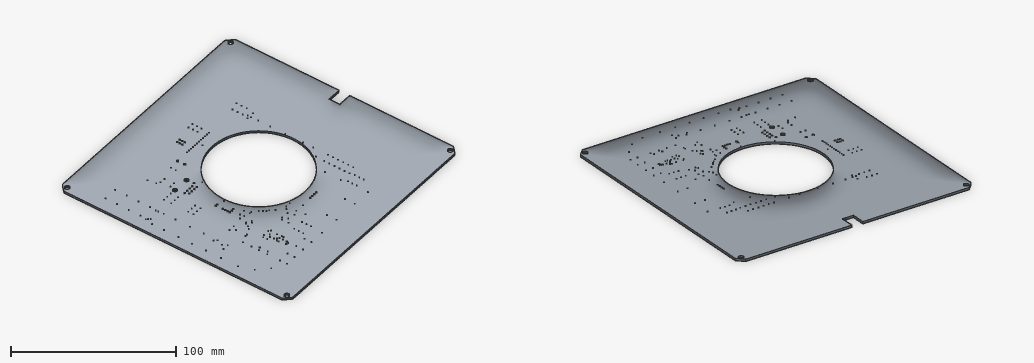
import cadquery as cq

BOARD_SIDE = 173.6
BOARD_THICKNESS = 1.6
CORNER_CHAMFER = 4.5

OPENING_DIAMETER = 69.8
NOTCH_WIDTH = 8.0
NOTCH_DEPTH = 10.0

MOUNT_DIAMETER = 3.5
MOUNT_INSET = 4.0

VIA_DIAMETER = 0.5
PIN_DIAMETER = 0.95
LEAD_DIAMETER = 1.4
PEG_DIAMETER = 3.0


def run(start, end, count):
    """Evenly spaced places from start to end, both included."""
    step = (end - start) / (count - 1)
    return [start + step * i for i in range(count)]


def grid(xs, ys):
    """Every pairing of the given X and Y places."""
    return [(x, y) for x in xs for y in ys]


def drill(board, points, diameter):
    """Cut round through holes at the given points."""
    cutters = (
        cq.Workplane("XY")
        .pushPoints(points)
        .circle(diameter / 2)
        .extrude(BOARD_THICKNESS)
    )
    return board.cut(cutters)


def make_board():
    """Plate with chamfered corners, central opening and edge notch."""
    plate = (
        cq.Workplane("XY")
        .rect(BOARD_SIDE, BOARD_SIDE)
        .extrude(BOARD_THICKNESS)
        .edges("|Z")
        .chamfer(CORNER_CHAMFER)
    )
    notch = (
        cq.Workplane("XY")
        .center(0, BOARD_SIDE / 2 - NOTCH_DEPTH / 2)
        .rect(NOTCH_WIDTH, NOTCH_DEPTH)
        .extrude(BOARD_THICKNESS)
    )
    return drill(plate.cut(notch), [(0, 0)], OPENING_DIAMETER)


def upper_vias():
    """Vias between the central opening and the notched edge."""
    points = grid(run(-46.7, -39.0, 3), [40.3])
    points += grid(run(-45.3, -37.5, 3), [34.2])
    points += [(-33.2, 38.9), (-34.5, 35.2), (-32.1, 35.2), (-33.2, 33.2)]
    points += grid([-26.7, -17.7, -6.5, 7.1, 14.8], [35.5])
    points += grid(run(25.9, 45.0, 6), [35.5])
    points += grid(run(27.5, 46.5, 6), [29.5])
    points += [(21.0, 29.7), (33.9, 21.5), (45.8, 21.5), (65.6, 22.4)]
    return points


def left_vias():
    """Vias on the -X side of the central opening."""
    points = grid(run(-56.8, -50.0, 3), [9.0, 5.2])
    points += grid([-44.0], run(8.7, -13.7, 12))
    points += [(-40.3, -3.0), (-43.2, -30.9), (-39.5, -30.9)]
    points += [(-33.3, -41.1), (-33.2, -45.0)]
    points += [(-40.3, -41.5), (-40.3, -45.3), (-41.8, -47.5), (-47.7, -48.5)]
    return points


def right_vias():
    """Vias in the rows and columns along the +X side."""
    points = grid(run(50.0, 56.8, 3), [30.0, 23.1, -23.5, -31.2])
    points += grid([58.3, 65.6], [9.0, -9.4])
    points += grid([60.5, 65.6], [-34.9, -43.2, -51.9, -59.7])
    points += [(65.6, -24.1), (60.5, -68.5), (53.3, -75.7)]
    return points


def opening_rim_vias():
    """Scattered vias around the -Y half of the central opening."""
    points = [(41.5, -10.8), (47.5, -16.5), (41.1, -17.4), (42.5, -20.8)]
    points += [(33.9, -14.0), (33.9, -17.7), (35.5, -19.6), (38.2, -22.0)]
    points += [(30.5, -24.1), (27.8, -26.7), (26.7, -28.1), (25.2, -29.5), (23.1, -31.0)]
    points += [(41.5, -25.9), (38.0, -27.5), (39.0, -29.0), (44.0, -28.8)]
    points += [(-20.1, -30.2), (0.7, -36.1)]
    return points


def lower_right_vias():
    """Scattered vias below and to the right of the central opening."""
    points = [(15.8, -36.1), (15.8, -40.3), (18.7, -40.0), (18.0, -43.2)]
    points += [(20.0, -34.4), (20.0, -36.0)]
    points += [(25.2, -41.0), (26.2, -42.2), (23.3, -44.1), (24.0, -45.0)]
    points += [(26.2, -46.2), (28.1, -48.0), (19.3, -51.2), (22.4, -53.3), (19.3, -55.5)]
    points += [(30.2, -52.6), (30.2, -54.2)]

    points += grid([48.0, 49.3], [-41.1, -46.2])
    points += [(39.8, -41.0), (38.5, -42.2), (44.6, -41.5), (48.0, -43.2), (50.3, -43.2)]
    points += [(41.3, -44.5), (42.7, -46.0), (46.9, -44.6), (45.5, -45.7)]
    points += [(38.7, -46.9), (39.5, -48.6), (42.5, -48.6)]

    points += grid([32.5, 38.9, 44.6, 50.9], [-59.7])
    points += [(49.7, -57.6)]
    return points


def bottom_vias():
    """Vias below the central opening and along the -Y edge."""
    points = grid([-29.2, -23.6, -10.8, -6.8], run(-50.0, -57.0, 3))
    points += grid(run(-58.3, -31.8, 4), [-67.4, -77.0])
    points += grid([-21.5, -12.7, -1.7, 8.7, 19.1], [-67.4, -79.2])
    points += [(-27.3, -67.7), (-25.3, -67.7)]
    points += [(-25.0, -75.9), (-26.2, -76.9), (-27.3, -78.0)]
    points += [(17.4, -69.1), (23.8, -69.1), (26.7, -67.4), (26.7, -71.7)]
    points += [(30.4, -79.2), (43.2, -79.2)]
    return points


def pin_holes():
    """Holes for connector pins, slightly larger than the vias."""
    points = grid(run(-54.3, -50.3, 3), [-7.1, -9.7])

    points += grid([40.8], run(3.5, -2.8, 4))

    points += grid([-22.7], run(-36.8, -44.6, 4))
    points += grid([-20.1], run(-35.6, -43.2, 4))
    points += [(-23.6, -33.9)]

    points += grid(run(4.5, 8.0, 3), [-42.4])
    points += grid([9.7], run(-38.7, -42.4, 3))

    points += grid([-0.7], [-41.1, -42.7])
    points += [(53.3, -43.4), (54.5, -44.0), (54.5, -45.3), (43.5, -57.5)]
    return points


board = make_board()

mount_place = BOARD_SIDE / 2 - MOUNT_INSET
mount_points = grid([-mount_place, mount_place], [-mount_place, mount_place])
board = drill(board, mount_points, MOUNT_DIAMETER)

via_points = upper_vias() + left_vias() + right_vias()
via_points += opening_rim_vias() + lower_right_vias() + bottom_vias()
board = drill(board, via_points, VIA_DIAMETER)
board = drill(board, pin_holes(), PIN_DIAMETER)

board = drill(board, [(-43.7, -23.5), (-38.5, -23.3)], LEAD_DIAMETER)
board = drill(board, [(-29.0, -34.4), (-29.0, -45.8)], PEG_DIAMETER)

result = board